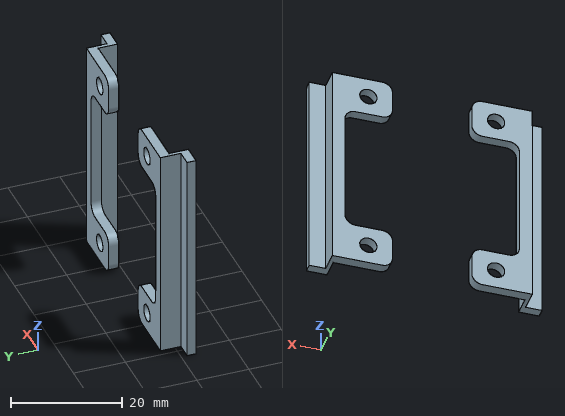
import cadquery as cq

pair_width = 44.0
depth = 5.7
height = 42.0

lip_width = 3.9
lip_thickness = 1.75
wall_thickness = 0.8
plate_thickness = 2.0
bracket_width = 14.5

tab_height = 8.0
cutout_start = 5.55
corner_radius = 2.0

hole_diameter = 3.2
hole_from_side = 9.95
hole_from_end = 3.95

outer_x = -pair_width / 2
tab_end_x = outer_x + bracket_width
wall_inner_x = outer_x + lip_width
wall_outer_x = wall_inner_x - wall_thickness
front_y = -depth / 2
back_y = depth / 2
lip_back_y = front_y + lip_thickness
plate_front_y = back_y - plate_thickness


def make_section():
    """Full-height Z section: front lip, connecting wall and rear plate."""
    return (
        cq.Workplane("XY")
        .polyline([
            (outer_x, front_y),
            (wall_inner_x, front_y),
            (wall_inner_x, plate_front_y),
            (tab_end_x, plate_front_y),
            (tab_end_x, back_y),
            (wall_outer_x, back_y),
            (wall_outer_x, lip_back_y),
            (outer_x, lip_back_y),
        ])
        .close()
        .extrude(height / 2, both=True)
    )


def make_cutout():
    """Opening between the two tabs, running out through the inner edge."""
    cutout_width = bracket_width - cutout_start
    return cq.Workplane("XY").box(
        cutout_width, plate_thickness, height - 2 * tab_height
    ).translate((tab_end_x - cutout_width / 2, back_y - plate_thickness / 2, 0))


def make_holes():
    """Mounting holes through the tabs."""
    hole_x = outer_x + hole_from_side
    hole_z = height / 2 - hole_from_end
    return (
        cq.Workplane("XZ", origin=(0, back_y, 0))
        .pushPoints([(hole_x, -hole_z), (hole_x, hole_z)])
        .circle(hole_diameter / 2)
        .extrude(plate_thickness)
    )


def make_bracket():
    """Left bracket with rounded tab and cutout corners."""
    bracket = make_section().cut(make_cutout())
    plate_corners = cq.selectors.BoxSelector(
        (wall_inner_x, plate_front_y, -height),
        (tab_end_x + corner_radius, back_y, height),
    )
    bracket = bracket.edges("|Y").edges(plate_corners).fillet(corner_radius)
    return bracket.cut(make_holes())


left_bracket = make_bracket()
brackets = [left_bracket, left_bracket.mirror("YZ")]

result = cq.Compound.makeCompound([bracket.val() for bracket in brackets])